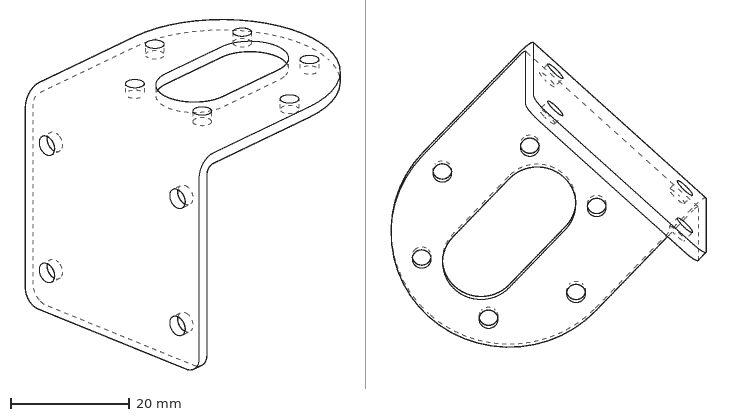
import cadquery as cq
import math

width = 40.0
depth = 47.5
height = 40.5
thickness = 2.0
inner_bend_radius = 1.5
outer_bend_radius = inner_bend_radius + thickness
plate_corner_radius = 3.0

end_radius = width / 2
flange_center_y = depth - end_radius
slot_length = 27.0
slot_width = 13.0
ring_radius = 15.5
ring_hole_diameter = 3.2
ring_hole_count = 6

mount_hole_diameter = 3.5
mount_spacing_x = 30.0
mount_spacing_z = 24.0
mount_lower_row_z = 7.5
mount_center_z = mount_lower_row_z + mount_spacing_z / 2


def bent_sheet():
    """L-shaped sheet with concentric bend radii, centred on X."""
    bend_y = outer_bend_radius
    bend_z = height - outer_bend_radius
    diagonal = math.sqrt(0.5)
    outer_mid = (bend_y - outer_bend_radius * diagonal, bend_z + outer_bend_radius * diagonal)
    inner_mid = (bend_y - inner_bend_radius * diagonal, bend_z + inner_bend_radius * diagonal)
    return (
        cq.Workplane("YZ")
        .moveTo(0, 0)
        .lineTo(0, bend_z)
        .threePointArc(outer_mid, (bend_y, height))
        .lineTo(depth, height)
        .lineTo(depth, height - thickness)
        .lineTo(bend_y, height - thickness)
        .threePointArc(inner_mid, (thickness, bend_z))
        .lineTo(thickness, 0)
        .close()
        .extrude(width / 2, both=True)
    )


def rounded_end_envelope():
    """Full-height block with the semicircular plan outline of the flange."""
    return (
        cq.Workplane("XY")
        .moveTo(-width / 2, 0)
        .lineTo(width / 2, 0)
        .lineTo(width / 2, flange_center_y)
        .threePointArc((0, depth), (-width / 2, flange_center_y))
        .close()
        .extrude(height)
    )


def flange_openings():
    """Slot along Y and the ring of holes through the horizontal flange."""
    plane = cq.Workplane("XY", origin=(0, flange_center_y, height))
    slot = plane.slot2D(slot_length, slot_width, 90).extrude(-thickness)
    holes = (
        plane.polarArray(ring_radius, 0, 360, ring_hole_count)
        .circle(ring_hole_diameter / 2)
        .extrude(-thickness)
    )
    return slot.union(holes)


def mounting_holes():
    """Rectangular pattern of holes through the vertical plate."""
    return (
        cq.Workplane("XZ", origin=(0, 0, mount_center_z))
        .rarray(mount_spacing_x, mount_spacing_z, 2, 2)
        .circle(mount_hole_diameter / 2)
        .extrude(-thickness)
    )


bracket = bent_sheet().intersect(rounded_end_envelope())

lower_corners = cq.selectors.BoxSelector((-width, -0.48, -0.48), (width, thickness + 0.48, 0.48))
bracket = bracket.edges(lower_corners).edges("|Y").fillet(plate_corner_radius)

result = bracket.cut(flange_openings()).cut(mounting_holes())